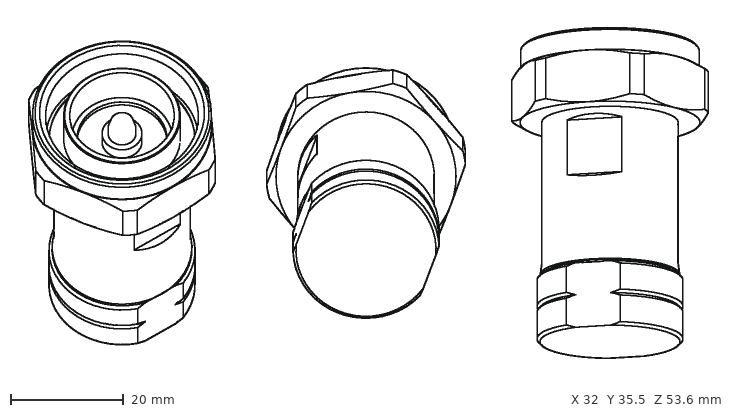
import cadquery as cq
import math


total_height = 53.65

clamp_top = 11.8
clamp_radius = 13.0
clamp_chamfer = 0.55
clamp_groove_height = 5.95
clamp_across_flats = 24.05

neck_radius = 11.7
neck_top = 12.25
shoulder_radius = 12.4
shoulder_top = 14.25
barrel_radius = 12.1
pocket_across_flats = 22.0
pocket_size = 10.0
pocket_center_height = 33.2
pocket_end_angle = 30.0

hex_sides = 6
hex_across_flats = 32.0
hex_corner_radius = 17.75
hex_bottom = 40.1
hex_top = 49.55
hex_chamfer_angle = 30.0
rim_radius = 15.9
rim_chamfer = 0.45
mouth_radius = 13.6
mouth_chamfer = 1.05
mouth_floor = 45.65

seal_section_radius = 1.3

tube_radius = 10.35
tube_top = 52.85
tube_chamfer = 0.15
tube_bore_radius = 8.95
tube_flare_radius = 9.3
tube_flare_start = 48.75
tube_ledge = mouth_floor
well_radius = 8.0
well_floor = 44.75

boss_radius = 3.55
boss_top = 47.25
pin_radius = 2.45
pin_shoulder = 48.95
pin_tip_radius = 2.0
pin_tip_fillet = 0.25
pin_top = 51.0


def revolved(outline):
    """Turn a closed outline, drawn as (radius, height), about Z."""
    return outline.close().revolve(360, (0, 0, 0), (0, 1, 0))


def cylinder(radius, bottom, top):
    return cq.Workplane("XY").workplane(offset=bottom).circle(radius).extrude(top - bottom)


def make_clamp_nut():
    chamfered_radius = clamp_radius - clamp_chamfer
    nut = revolved(
        cq.Workplane("XZ")
        .moveTo(0, 0)
        .lineTo(chamfered_radius, 0)
        .lineTo(clamp_radius, clamp_chamfer)
        .lineTo(clamp_radius, clamp_groove_height - clamp_chamfer)
        .lineTo(chamfered_radius, clamp_groove_height)
        .lineTo(clamp_radius, clamp_groove_height + clamp_chamfer)
        .lineTo(clamp_radius, clamp_top - clamp_chamfer)
        .lineTo(chamfered_radius, clamp_top)
        .lineTo(0, clamp_top)
    )
    between_flats = cq.Workplane("XY").box(
        clamp_across_flats, 2 * clamp_radius, clamp_top, centered=(True, True, False)
    )
    return nut.intersect(between_flats)


def make_wrench_pocket():
    """Cutter for the +X wrench pocket, with end walls that flare outward."""
    flat_x = pocket_across_flats / 2
    depth = shoulder_radius - flat_x
    flare = depth * math.tan(math.radians(pocket_end_angle))
    half_size = pocket_size / 2
    return (
        cq.Workplane("XZ")
        .moveTo(flat_x, pocket_center_height - half_size)
        .lineTo(flat_x + depth, pocket_center_height - half_size - flare)
        .lineTo(flat_x + depth, pocket_center_height + half_size + flare)
        .lineTo(flat_x, pocket_center_height + half_size)
        .close()
        .extrude(half_size, both=True)
    )


def make_body():
    body = revolved(
        cq.Workplane("XZ")
        .moveTo(0, clamp_top)
        .lineTo(neck_radius, clamp_top)
        .lineTo(neck_radius, neck_top)
        .lineTo(shoulder_radius, neck_top)
        .lineTo(barrel_radius, shoulder_top)
        .lineTo(barrel_radius, hex_bottom)
        .lineTo(0, hex_bottom)
    )
    pocket = make_wrench_pocket()
    return body.cut(pocket).cut(pocket.mirror("YZ"))


def make_coupling_nut():
    flat_radius = hex_across_flats / 2
    chamfer_height = (hex_corner_radius - flat_radius) * math.tan(math.radians(hex_chamfer_angle))
    turned_blank = revolved(
        cq.Workplane("XZ")
        .moveTo(0, hex_bottom)
        .lineTo(flat_radius, hex_bottom)
        .lineTo(hex_corner_radius, hex_bottom + chamfer_height)
        .lineTo(hex_corner_radius, hex_top - chamfer_height)
        .lineTo(flat_radius, hex_top)
        .lineTo(0, hex_top)
    )
    across_corners = hex_across_flats / math.cos(math.pi / hex_sides)
    hexagon = (
        cq.Workplane("XY")
        .workplane(offset=hex_bottom)
        .transformed(rotate=(0, 0, 180 / hex_sides))
        .polygon(hex_sides, across_corners)
        .extrude(hex_top - hex_bottom)
    )
    rim = cylinder(rim_radius, hex_top, total_height).faces(">Z").edges().chamfer(rim_chamfer)
    mouth = revolved(
        cq.Workplane("XZ")
        .moveTo(0, well_floor)
        .lineTo(well_radius, well_floor)
        .lineTo(well_radius, mouth_floor)
        .lineTo(mouth_radius, mouth_floor)
        .lineTo(mouth_radius, total_height - mouth_chamfer)
        .lineTo(mouth_radius + mouth_chamfer, total_height)
        .lineTo(0, total_height)
    )
    return turned_blank.intersect(hexagon).union(rim).cut(mouth)


def make_contact_tube():
    flare_height = tube_top - tube_flare_start
    flare_width = tube_flare_radius - tube_bore_radius
    arc_radius = (flare_height**2 + flare_width**2) / (2 * flare_width)
    half_angle = math.asin(flare_height / arc_radius) / 2
    flare_middle = (
        tube_bore_radius + arc_radius * (1 - math.cos(half_angle)),
        tube_flare_start + arc_radius * math.sin(half_angle),
    )
    return revolved(
        cq.Workplane("XZ")
        .moveTo(well_radius, well_floor)
        .lineTo(tube_radius, well_floor)
        .lineTo(tube_radius, tube_top - tube_chamfer)
        .lineTo(tube_radius - tube_chamfer, tube_top)
        .lineTo(tube_flare_radius, tube_top)
        .threePointArc(flare_middle, (tube_bore_radius, tube_flare_start))
        .lineTo(tube_bore_radius, tube_ledge)
        .lineTo(well_radius, tube_ledge)
    )


def make_seal_ring():
    center_radius = tube_radius + seal_section_radius
    return revolved(
        cq.Workplane("XZ")
        .moveTo(center_radius - seal_section_radius, mouth_floor)
        .threePointArc(
            (center_radius, mouth_floor + seal_section_radius),
            (center_radius + seal_section_radius, mouth_floor),
        )
    )


def make_center_pin():
    pin = revolved(
        cq.Workplane("XZ")
        .moveTo(0, well_floor)
        .lineTo(pin_radius, well_floor)
        .lineTo(pin_radius, pin_shoulder)
        .lineTo(pin_tip_radius, pin_top)
        .lineTo(0, pin_top)
    )
    return pin.faces(">Z").edges().fillet(pin_tip_fillet)


result = (
    make_clamp_nut()
    .union(make_body())
    .union(make_coupling_nut())
    .union(make_contact_tube())
    .union(make_seal_ring())
    .union(cylinder(boss_radius, well_floor, boss_top))
    .union(make_center_pin())
)